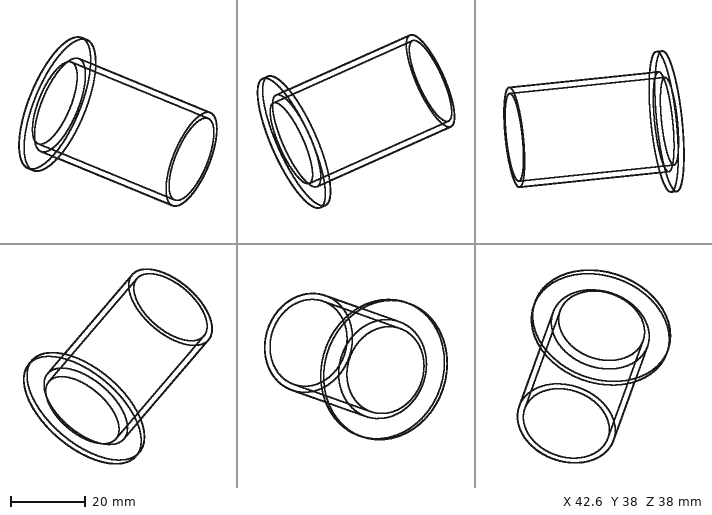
import cadquery as cq

overall_length = 42.6
flange_diameter = 38.0
flange_thickness = 1.6
tube_diameter = 27.0
bore_diameter = 23.7


def disc(diameter, length):
    """Solid cylinder along +X, starting at X = 0."""
    return cq.Workplane("YZ").circle(diameter / 2).extrude(length)


flange = disc(flange_diameter, flange_thickness)
tube = disc(tube_diameter, overall_length)
bore = disc(bore_diameter, overall_length)

result = flange.union(tube).cut(bore)